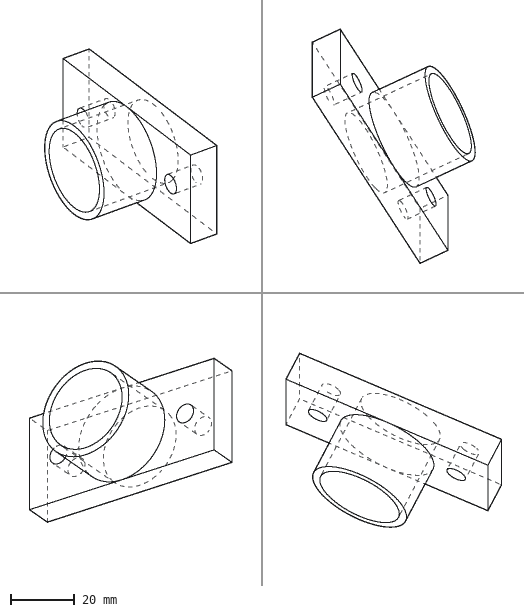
import cadquery as cq

plate_length = 70.0
plate_thickness = 10.0
tube_diameter = 32.6
tube_projection = 20.0
wall_thickness = 2.5
bolt_hole_diameter = 6.45
bolt_hole_spacing = 48.0

plate_height = tube_diameter
bore_diameter = tube_diameter - 2 * wall_thickness

plate = cq.Workplane("XZ").rect(plate_length, plate_height).extrude(-plate_thickness)

tube = cq.Workplane("XZ").circle(tube_diameter / 2).extrude(tube_projection)

bore = (
    cq.Workplane("XZ", origin=(0, plate_thickness, 0))
    .circle(bore_diameter / 2)
    .extrude(plate_thickness + tube_projection)
)

bolt_holes = (
    cq.Workplane("XZ")
    .pushPoints([(-bolt_hole_spacing / 2, 0), (bolt_hole_spacing / 2, 0)])
    .circle(bolt_hole_diameter / 2)
    .extrude(-plate_thickness)
)

result = plate.union(tube).cut(bore).cut(bolt_holes)